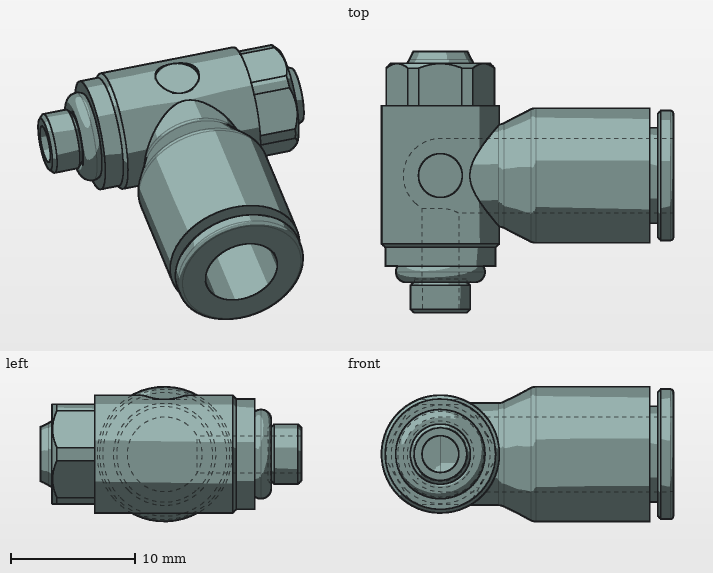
import cadquery as cq
import math


BODY_RADIUS = 4.75
BODY_TOP = 5.6
BODY_BOTTOM = -5.77
COLLAR_RADIUS = 4.43
COLLAR_BOTTOM = -7.27
BODY_CHAMFER = BODY_RADIUS - COLLAR_RADIUS

RING_TUBE_RADIUS = 0.85
RING_CENTRE_RADIUS = 2.75
RING_CENTRE_Y = -7.75

SPIGOT_RADIUS = 2.42
SPIGOT_TOP = -8.82
SPIGOT_BOTTOM = -11.03
SPIGOT_CHAMFER = 0.3
NECK_RADIUS = SPIGOT_RADIUS - SPIGOT_CHAMFER

HEX_ACROSS_FLATS = 8.02
HEX_CORNER_RADIUS = 4.36
HEX_TOP = 9.03
HEX_CHAMFER = 0.4

CAP_BASE_RADIUS = 2.67
CAP_MIDDLE_RADIUS = 2.49
CAP_TOP_RADIUS = 2.18
CAP_MIDDLE = 9.34
CAP_TOP = 9.97

STEM_RADIUS = 4.1
STEM_END = 4.88
STEM_FILLET = 0.99
SLEEVE_RADIUS = 5.42
SLEEVE_START = 7.44
SLEEVE_FILLET = 0.87
SLEEVE_END = 16.82
GROOVE_RADIUS = 3.85
RELEASE_RADIUS = 5.23
RELEASE_START = 17.45
RELEASE_END = 18.72
RELEASE_CHAMFER = 0.25
RELEASE_FILLET = 0.28

SPIGOT_BORE_RADIUS = 1.48
TUBE_BORE_RADIUS = 3.0
RECESS_RADIUS = 1.75
RECESS_FLOOR = 4.39


def turned_about_y(profile):
    """Revolve (radius, y) points, closed along the axis, about Y."""
    return cq.Workplane("XY").polyline(profile).close().revolve(360, (0, 0), (0, 1))


def make_banjo_body():
    return turned_about_y([
        (0, BODY_TOP),
        (BODY_RADIUS, BODY_TOP),
        (BODY_RADIUS, BODY_BOTTOM + BODY_CHAMFER),
        (COLLAR_RADIUS, BODY_BOTTOM),
        (COLLAR_RADIUS, COLLAR_BOTTOM),
        (NECK_RADIUS, COLLAR_BOTTOM),
        (NECK_RADIUS, SPIGOT_TOP + SPIGOT_CHAMFER),
        (SPIGOT_RADIUS, SPIGOT_TOP),
        (SPIGOT_RADIUS, SPIGOT_BOTTOM + SPIGOT_CHAMFER),
        (NECK_RADIUS, SPIGOT_BOTTOM),
        (0, SPIGOT_BOTTOM),
    ])


def make_sealing_ring():
    return (
        cq.Workplane("XY")
        .center(RING_CENTRE_RADIUS, RING_CENTRE_Y)
        .circle(RING_TUBE_RADIUS)
        .revolve(360, (-RING_CENTRE_RADIUS, 0), (-RING_CENTRE_RADIUS, 1))
    )


def make_hex_head():
    across_corners = HEX_ACROSS_FLATS / math.cos(math.pi / 6)
    prism = (
        cq.Workplane("XZ", origin=(0, BODY_TOP, 0))
        .polygon(6, across_corners)
        .extrude(BODY_TOP - HEX_TOP)
    )
    turned_blank = turned_about_y([
        (0, BODY_TOP),
        (HEX_CORNER_RADIUS, BODY_TOP),
        (HEX_CORNER_RADIUS, HEX_TOP - HEX_CHAMFER),
        (HEX_CORNER_RADIUS - HEX_CHAMFER, HEX_TOP),
        (0, HEX_TOP),
    ])
    return prism.intersect(turned_blank)


def make_cap():
    return turned_about_y([
        (0, HEX_TOP),
        (CAP_BASE_RADIUS, HEX_TOP),
        (CAP_MIDDLE_RADIUS, CAP_MIDDLE),
        (CAP_TOP_RADIUS, CAP_TOP),
        (0, CAP_TOP),
    ])


def make_tube_connector():
    """Stem, flaring cone, sleeve, groove and release ring, turned about X."""
    cone_angle = math.atan2(SLEEVE_RADIUS - STEM_RADIUS, SLEEVE_START - STEM_END)

    def rounded_corner(corner_x, corner_radius, fillet, side):
        """Start, middle and end of a cone-end arc; side is 1 if hollow, -1 if bulging."""
        centre_x = corner_x - side * fillet * math.tan(cone_angle / 2)
        centre_radius = corner_radius + side * fillet

        def arc_point(angle):
            return (
                centre_x + side * fillet * math.sin(angle),
                centre_radius - side * fillet * math.cos(angle),
            )

        return arc_point(0), arc_point(cone_angle / 2), arc_point(cone_angle)

    stem_start, stem_middle, stem_end = rounded_corner(STEM_END, STEM_RADIUS, STEM_FILLET, 1)
    sleeve_start, sleeve_middle, sleeve_end = rounded_corner(
        SLEEVE_START, SLEEVE_RADIUS, SLEEVE_FILLET, -1
    )

    return (
        cq.Workplane("XY")
        .moveTo(0, 0)
        .lineTo(0, STEM_RADIUS)
        .lineTo(*stem_start)
        .threePointArc(stem_middle, stem_end)
        .lineTo(*sleeve_end)
        .threePointArc(sleeve_middle, sleeve_start)
        .lineTo(SLEEVE_END, SLEEVE_RADIUS)
        .lineTo(SLEEVE_END, GROOVE_RADIUS)
        .lineTo(RELEASE_START, GROOVE_RADIUS)
        .lineTo(RELEASE_START, RELEASE_RADIUS - RELEASE_CHAMFER)
        .lineTo(RELEASE_START + RELEASE_CHAMFER, RELEASE_RADIUS)
        .lineTo(RELEASE_END - RELEASE_FILLET, RELEASE_RADIUS)
        .radiusArc((RELEASE_END, RELEASE_RADIUS - RELEASE_FILLET), RELEASE_FILLET)
        .lineTo(RELEASE_END, 0)
        .close()
        .revolve(360, (0, 0), (1, 0))
    )


def make_passages():
    """Tube bore with a ball end at the crossing of the axes, and the spigot bore into it."""
    tube_bore = cq.Workplane("YZ").circle(TUBE_BORE_RADIUS).extrude(RELEASE_END)
    ball_end = cq.Workplane("XY").sphere(TUBE_BORE_RADIUS)
    spigot_bore = cq.Workplane("XZ").circle(SPIGOT_BORE_RADIUS).extrude(-SPIGOT_BOTTOM)
    return tube_bore.union(ball_end).union(spigot_bore)


def make_marking_recess():
    """Flat-bottomed round recess in the +Z side of the body."""
    return (
        cq.Workplane("XY", origin=(0, 0, RECESS_FLOOR))
        .circle(RECESS_RADIUS)
        .extrude(BODY_RADIUS - RECESS_FLOOR)
    )


result = (
    make_banjo_body()
    .union(make_sealing_ring())
    .union(make_hex_head())
    .union(make_cap())
    .union(make_tube_connector())
    .cut(make_passages())
    .cut(make_marking_recess())
)